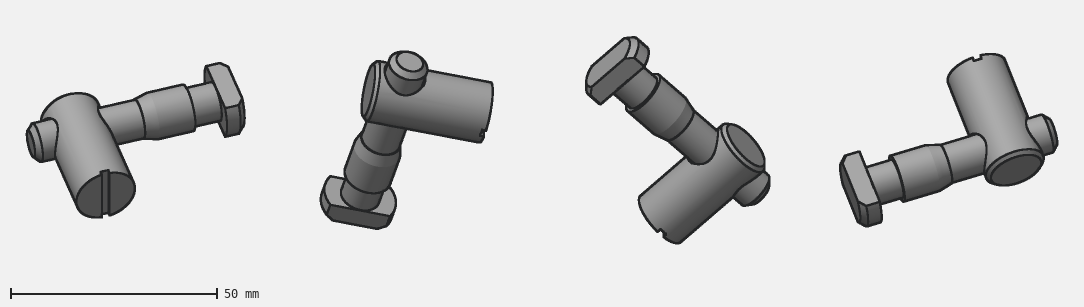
import cadquery as cq


pin_radius = 4.85
pin_tip_y = -11.95
pin_length = 52.0
pin_top_y = pin_tip_y + pin_length
end_chamfer = 1.5
head_radius = 9.0
head_height = 5.0
head_thickness = 10.0
head_bottom_y = pin_top_y - head_height

sleeve_radius = 5.8
sleeve_nose_radius = 4.95
sleeve_top_y = 28.05
sleeve_length = 12.5
sleeve_taper_length = 3.45
sleeve_nose_y = sleeve_top_y - sleeve_length

barrel_diameter = 14.9
barrel_radius = barrel_diameter / 2
barrel_start_x = -7.25
barrel_length = 29.2
barrel_chamfer = 1.0
barrel_hole_radius = 5.15
slot_width = 2.0
slot_depth = 1.0


def make_pin():
    """Chamfered round shank with a flat-sided hammer head, on the Y axis."""
    shank = (
        cq.Workplane("XY")
        .moveTo(0, pin_tip_y)
        .lineTo(pin_radius - end_chamfer, pin_tip_y)
        .lineTo(pin_radius, pin_tip_y + end_chamfer)
        .lineTo(pin_radius, head_bottom_y)
        .lineTo(0, head_bottom_y)
        .close()
        .revolve(360, (0, 0, 0), (0, 1, 0))
    )
    round_head = (
        cq.Workplane("XY")
        .moveTo(0, head_bottom_y)
        .lineTo(head_radius, head_bottom_y)
        .lineTo(head_radius, pin_top_y - end_chamfer)
        .lineTo(head_radius - end_chamfer, pin_top_y)
        .lineTo(0, pin_top_y)
        .close()
        .revolve(360, (0, 0, 0), (0, 1, 0))
    )
    between_flats = (
        cq.Workplane("XY")
        .box(2 * head_radius, head_height, head_thickness)
        .translate((0, head_bottom_y + head_height / 2, 0))
    )
    return shank.union(round_head.intersect(between_flats))


def make_sleeve():
    """Tube fitting the pin, tapered towards the barrel."""
    return (
        cq.Workplane("XY")
        .moveTo(pin_radius, sleeve_nose_y)
        .lineTo(sleeve_nose_radius, sleeve_nose_y)
        .lineTo(sleeve_radius, sleeve_nose_y + sleeve_taper_length)
        .lineTo(sleeve_radius, sleeve_top_y)
        .lineTo(pin_radius, sleeve_top_y)
        .close()
        .revolve(360, (0, 0, 0), (0, 1, 0))
    )


def make_barrel():
    """Cylinder with a cross hole for the pin and a screwdriver slot at the far end."""
    body = (
        cq.Workplane("YZ", origin=(barrel_start_x, 0, 0))
        .circle(barrel_radius)
        .extrude(barrel_length)
        .faces("<X")
        .chamfer(barrel_chamfer)
    )
    cross_hole = cq.Workplane("XZ").circle(barrel_hole_radius).extrude(barrel_radius, both=True)
    slot = (
        cq.Workplane("XY")
        .box(slot_depth, slot_width, 2 * barrel_radius)
        .translate((barrel_start_x + barrel_length - slot_depth / 2, 0, 0))
    )
    return body.cut(cross_hole).cut(slot)


pin = make_pin()
sleeve = make_sleeve()
barrel = make_barrel()

result = cq.Compound.makeCompound([pin.val(), sleeve.val(), barrel.val()])